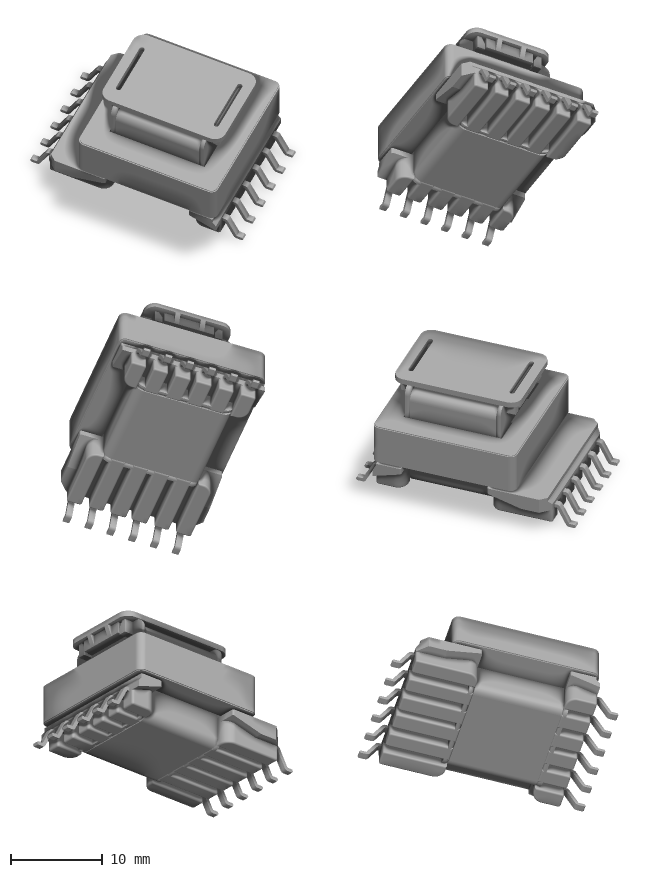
import cadquery as cq
import math


CORE_HALF_X = 8.25
CORE_HALF_Y = 8.4
CORE_CORNER_RADIUS = 0.67
CORE_BOTTOM = 4.28
CORE_HEIGHT = 4.71
CORE_TOP = CORE_BOTTOM + CORE_HEIGHT
WINDOW_HALF_X = 5.75
WINDOW_HALF_Y = 5.65
POST_HALF_Y = 2.37

TAPE_THICKNESS = 0.115
TAPE_RECESS = 0.1

FLANGE_OUTER_X = 5.62
FLANGE_INNER_X = 5.02
FLANGE_HALF_Y = 5.6
FLANGE_BOTTOM = 0.46
FLANGE_TOP = 12.85
FLANGE_CORNER_RADIUS = 1.0
FLANGE_LIP_ROUND = 0.4
POST_CLEARANCE = 0.09
TUBE_WALL = 0.3

BLOCK_MIDDLE_X = -1.95
BLOCK_HALF_SPAN = 10.33
BLOCK_HALF_Y = 7.25
BLOCK_OUTER_ROUND = 0.25
BLOCK_INNER_ROUND = 1.18
BLOCK_BOTTOM_ROUND = 0.2
WING_HALF_Y = 8.3
WING_BOTTOM = 2.2
WING_TOP = 3.92
WING_TIP_BOTTOM = 3.22
WING_TIP_ROUND = 0.2
WING_SLOPE_START_X = -9.02
WING_CORNER_LENGTH = 1.15
NOSE_SETBACK = 0.4
NOSE_LIP_HEIGHT = 0.46
NOSE_CHAMFER_HEIGHT = 0.52

PIN_COUNT = 6
PIN_PITCH = 2.54
PIN_WIDTH = 0.72
PIN_THICKNESS = 0.4
PIN_TOP = 2.63
PIN_HALF_SPAN = 12.88
PIN_FOOT_LENGTH = 0.8
PIN_SHOULDER_LENGTH = 0.57
PIN_BEND_RADIUS = 0.4
PIN_TIP_TAPER = 0.13
WIRE_SLOT_WIDTH = 0.82
MIDDLE_SLOT_WIDTH = 0.62
SLOT_PLACES = [(slot - PIN_COUNT / 2) * PIN_PITCH for slot in range(1, PIN_COUNT)]
WIRE_SLOTS = [(y, (WIRE_SLOT_WIDTH if y else MIDDLE_SLOT_WIDTH) / 2) for y in SLOT_PLACES]

WINDING_HALF_Y = FLANGE_HALF_Y
WINDING_BOTTOM = FLANGE_BOTTOM
WINDING_TOP = 12.2
WINDING_ROUND = 1.0

CAP_HALF_X = 7.37
CAP_HALF_Y = 5.0
CAP_TOP = 13.5
CAP_CORNER_RADIUS = 1.25
CAP_SLOT_OUTER_X = 6.2
CAP_SLOT_LENGTH = 6.5
LEG_OUTER_X = 6.72
BAR_OUTER_X = 6.83
BAR_HALF_Y = 2.89
BAR_DEPTH = 1.3
LEG_INNER_Y = 3.05
LEG_OUTER_Y = 3.95
LEG_DEPTH = 1.57
LEG_TOP_INNER_Y = 3.45
RIB_OFFSET_Y = 1.47
RIB_WIDTH = 0.57
CATCH_START_X = 5.77
CATCH_SLOPE_HEIGHT = 0.77

SIDES = (-1, 1)


def box(x_range, y_range, z_range):
    """Axis-aligned box from the lower and upper limits on each axis."""
    corners = list(zip(x_range, y_range, z_range))
    size = [high - low for low, high in zip(*corners)]
    return cq.Workplane("XY").box(*size, centered=False).translate(corners[0])


def prism_along_y(points, half_width, middle_y=0):
    """Extrude an outline in X and Z evenly to both sides of middle_y."""
    prism = cq.Workplane("XZ").polyline(points).close().extrude(half_width, both=True)
    return prism.translate((0, middle_y, 0))


def make_core_half(side):
    """E-shaped half with a back, two outer legs and a centre post, ending at X = 0."""
    core = (
        cq.Workplane("XY", origin=(0, 0, CORE_BOTTOM))
        .rect(2 * CORE_HALF_X, 2 * CORE_HALF_Y)
        .extrude(CORE_HEIGHT)
        .edges("|Z")
        .fillet(CORE_CORNER_RADIUS)
    )
    z_range = (CORE_BOTTOM, CORE_TOP)
    for y_range in ((POST_HALF_Y, WINDOW_HALF_Y), (-WINDOW_HALF_Y, -POST_HALF_Y)):
        core = core.cut(box((-WINDOW_HALF_X, WINDOW_HALF_X), y_range, z_range))
    x_range = sorted((0, side * CORE_HALF_X))
    return core.intersect(box(x_range, (-CORE_HALF_Y, CORE_HALF_Y), z_range))


def make_tape():
    """Band around the core, slightly lower than the core at top and bottom."""
    height = CORE_HEIGHT - 2 * TAPE_RECESS

    def outline(growth):
        return (
            cq.Workplane("XY", origin=(0, 0, CORE_BOTTOM + TAPE_RECESS))
            .rect(2 * (CORE_HALF_X + growth), 2 * (CORE_HALF_Y + growth))
            .extrude(height)
            .edges("|Z")
            .fillet(CORE_CORNER_RADIUS + growth)
        )

    return outline(TAPE_THICKNESS).cut(outline(0))


def bore(growth=0):
    """Passage for the core post through both flanges, or the tube around it when grown."""
    margin = POST_CLEARANCE + growth
    half_y = POST_HALF_Y + margin
    return box(
        (-FLANGE_OUTER_X, FLANGE_OUTER_X),
        (-half_y, half_y),
        (CORE_BOTTOM - margin, CORE_TOP + margin),
    )


def make_flange(side):
    """Rounded plate whose rim is rounded off on the side of the winding."""
    flange = (
        cq.Workplane("YZ", origin=(FLANGE_INNER_X, 0, 0))
        .center(0, (FLANGE_BOTTOM + FLANGE_TOP) / 2)
        .rect(2 * FLANGE_HALF_Y, FLANGE_TOP - FLANGE_BOTTOM)
        .extrude(FLANGE_OUTER_X - FLANGE_INNER_X)
        .edges("|X")
        .fillet(FLANGE_CORNER_RADIUS)
        .faces("<X")
        .edges()
        .fillet(FLANGE_LIP_ROUND)
    )
    return flange if side > 0 else flange.mirror("YZ")


def side_outline(side):
    """Points of the stepped nose in X and Z, from the top inner corner down to the wing bottom."""
    outer_x = BLOCK_MIDDLE_X + side * BLOCK_HALF_SPAN
    nose_x = outer_x - side * NOSE_SETBACK
    lip_z = WING_TOP - NOSE_LIP_HEIGHT
    return [
        (side * FLANGE_INNER_X, WING_TOP),
        (nose_x, WING_TOP),
        (nose_x, lip_z),
        (outer_x, lip_z - NOSE_CHAMFER_HEIGHT),
        (outer_x, WING_BOTTOM),
    ]


def make_slot_corner(side, slot_y, half_width, edge):
    """Sloped fill in a top corner of a wire slot, where its rounded mouth ends."""
    outer_x = BLOCK_MIDDLE_X + side * BLOCK_HALF_SPAN
    wall_y = slot_y + edge * half_width
    post_y = wall_y + edge * BLOCK_OUTER_ROUND
    outline = [
        (wall_y, WING_BOTTOM),
        (post_y, WING_BOTTOM),
        (post_y, WING_BOTTOM - BLOCK_OUTER_ROUND),
    ]
    start = cq.Workplane("YZ", origin=(outer_x, 0, 0))
    return start.polyline(outline).close().extrude(-side * BLOCK_OUTER_ROUND)


def make_block(side):
    """Row of posts between the wire slots, under the wing on one side."""
    inner_x = side * FLANGE_INNER_X
    outer_x = BLOCK_MIDDLE_X + side * BLOCK_HALF_SPAN
    x_range = sorted((inner_x, outer_x))
    outer_side, inner_side = (">X", "<X") if side > 0 else ("<X", ">X")

    block = box(x_range, (-BLOCK_HALF_Y, BLOCK_HALF_Y), (FLANGE_BOTTOM, WING_TIP_BOTTOM))
    block = block.faces(inner_side).edges("|Z").fillet(BLOCK_INNER_ROUND)
    for slot_y, half_width in WIRE_SLOTS:
        y_range = (slot_y - half_width, slot_y + half_width)
        block = block.cut(box(x_range, y_range, (FLANGE_BOTTOM, WING_BOTTOM)))
    block = block.faces(outer_side).edges("|Z").fillet(BLOCK_OUTER_ROUND)
    block = block.faces("<Z").edges().fillet(BLOCK_BOTTOM_ROUND)
    for slot_y, half_width in WIRE_SLOTS:
        if slot_y:
            for edge in SIDES:
                block = block.union(make_slot_corner(side, slot_y, half_width, edge))

    silhouette = side_outline(side) + [(outer_x, FLANGE_BOTTOM), (inner_x, FLANGE_BOTTOM)]
    return block.intersect(prism_along_y(silhouette, BLOCK_HALF_Y))


def make_wing_corner(outer_x, end):
    """Waste cut from an outer wing corner, down to the width of the block below."""
    waste = [
        (outer_x, end * WING_HALF_Y),
        (outer_x, end * BLOCK_HALF_Y),
        (outer_x + WING_CORNER_LENGTH, end * WING_HALF_Y),
    ]
    return cq.Workplane("XY").polyline(waste).close().extrude(WING_TOP)


def make_wing(side):
    """Wide shelf above a pin block, with a stepped nose and an underside rising inwards."""
    outer_x = BLOCK_MIDDLE_X + side * BLOCK_HALF_SPAN
    inner_x = side * FLANGE_INNER_X
    outline = side_outline(side)
    if side < 0:
        outline.append((WING_SLOPE_START_X, WING_BOTTOM))
    outline.append((inner_x, WING_TIP_BOTTOM))
    wing = prism_along_y(outline, WING_HALF_Y)

    plan = box(
        sorted((inner_x, outer_x)), (-WING_HALF_Y, WING_HALF_Y), (WING_BOTTOM, WING_TOP)
    )
    inner_side = "<X" if side > 0 else ">X"
    plan = plan.faces(inner_side).edges("|Z").fillet(WING_TIP_ROUND)
    wing = wing.intersect(plan)
    if side < 0:
        for end in SIDES:
            wing = wing.cut(make_wing_corner(outer_x, end))
    return wing


def make_pin(side, pin_y):
    """Gull-wing pin: shoulder out of the block, sloped leg and flat foot with a wedge-shaped tip."""
    block_x = BLOCK_HALF_SPAN
    knee_x = block_x + PIN_SHOULDER_LENGTH
    ankle_x = PIN_HALF_SPAN - PIN_FOOT_LENGTH
    taper_x = PIN_HALF_SPAN - PIN_TIP_TAPER
    slope = math.atan2(PIN_TOP - PIN_THICKNESS, ankle_x - knee_x)
    inner_shift = PIN_THICKNESS * math.tan(slope / 2)
    outline = [
        (block_x, PIN_TOP),
        (knee_x, PIN_TOP),
        (ankle_x, PIN_THICKNESS),
        (taper_x, PIN_THICKNESS),
        (PIN_HALF_SPAN, PIN_THICKNESS / 2),
        (taper_x, 0),
        (ankle_x - inner_shift, 0),
        (knee_x - inner_shift, PIN_TOP - PIN_THICKNESS),
        (block_x, PIN_TOP - PIN_THICKNESS),
    ]
    pin = prism_along_y(outline, PIN_WIDTH / 2, pin_y)
    for bend_x, bend_z in ((knee_x, PIN_TOP), (ankle_x - inner_shift, 0)):
        bend = cq.selectors.NearestToPointSelector((bend_x, pin_y, bend_z))
        pin = pin.edges("|Y").edges(bend).fillet(PIN_BEND_RADIUS)
    if side < 0:
        pin = pin.mirror("YZ")
    return pin.translate((BLOCK_MIDDLE_X, 0, 0))


def make_catch(side):
    """Ramp on the outer face of a flange, filling the gap between the legs of the cap."""
    slope_bottom = FLANGE_TOP - CATCH_SLOPE_HEIGHT
    catch_bottom = FLANGE_TOP - BAR_DEPTH
    ramp = [
        (side * FLANGE_OUTER_X, FLANGE_TOP),
        (side * CATCH_START_X, FLANGE_TOP),
        (side * CAP_SLOT_OUTER_X, slope_bottom),
        (side * CAP_SLOT_OUTER_X, catch_bottom),
        (side * FLANGE_OUTER_X, catch_bottom),
    ]
    width_outline = [
        (-LEG_TOP_INNER_Y, FLANGE_TOP),
        (LEG_TOP_INNER_Y, FLANGE_TOP),
        (LEG_INNER_Y, slope_bottom),
        (LEG_INNER_Y, catch_bottom),
        (-LEG_INNER_Y, catch_bottom),
        (-LEG_INNER_Y, slope_bottom),
    ]
    width = cq.Workplane("YZ").polyline(width_outline).close().extrude(CAP_HALF_X, both=True)
    return prism_along_y(ramp, LEG_TOP_INNER_Y).intersect(width)


def make_bobbin():
    """Tube with two flanges, carrying the blocks, wings, catches and pins on both sides."""
    bobbin = bore(TUBE_WALL)
    for side in SIDES:
        bobbin = bobbin.union(make_flange(side))
        bobbin = bobbin.union(make_block(side)).union(make_wing(side))
        bobbin = bobbin.union(make_catch(side))
        for pin in range(PIN_COUNT):
            pin_y = (pin - (PIN_COUNT - 1) / 2) * PIN_PITCH
            bobbin = bobbin.union(make_pin(side, pin_y))
    return bobbin.cut(bore())


def make_winding():
    """Rounded block of wire between the flanges, wound on the tube of the bobbin."""
    winding = box(
        (-FLANGE_INNER_X, FLANGE_INNER_X),
        (-WINDING_HALF_Y, WINDING_HALF_Y),
        (WINDING_BOTTOM, WINDING_TOP),
    )
    return winding.edges("|X").fillet(WINDING_ROUND).cut(bore(TUBE_WALL))


def make_clip_leg(side, end):
    """Leg beside a catch, with its inner edge narrowing towards the plate."""
    outline = [
        (end * LEG_OUTER_Y, FLANGE_TOP),
        (end * LEG_TOP_INNER_Y, FLANGE_TOP),
        (end * LEG_INNER_Y, FLANGE_TOP - CATCH_SLOPE_HEIGHT),
        (end * LEG_INNER_Y, FLANGE_TOP - LEG_DEPTH),
        (end * LEG_OUTER_Y, FLANGE_TOP - LEG_DEPTH),
    ]
    start = cq.Workplane("YZ", origin=(side * FLANGE_OUTER_X, 0, 0))
    return start.polyline(outline).close().extrude(side * (LEG_OUTER_X - FLANGE_OUTER_X))


def make_clip(side):
    """Two legs, the bar between them and the triangular ribs outside the bar."""
    bar_bottom = FLANGE_TOP - BAR_DEPTH
    clip = box(
        sorted((side * CAP_SLOT_OUTER_X, side * BAR_OUTER_X)),
        (-BAR_HALF_Y, BAR_HALF_Y),
        (bar_bottom, FLANGE_TOP),
    )
    rib_outline = [
        (side * BAR_OUTER_X, FLANGE_TOP),
        (side * CAP_HALF_X, FLANGE_TOP),
        (side * BAR_OUTER_X, bar_bottom),
    ]
    for end in SIDES:
        clip = clip.union(make_clip_leg(side, end))
        clip = clip.union(prism_along_y(rib_outline, RIB_WIDTH / 2, end * RIB_OFFSET_Y))
    return clip


def make_cap():
    """Rounded plate resting on the flanges, with a slot over each catch."""
    thickness = CAP_TOP - FLANGE_TOP
    slot_x = (FLANGE_OUTER_X + CAP_SLOT_OUTER_X) / 2
    slot_width = CAP_SLOT_OUTER_X - FLANGE_OUTER_X
    plate = (
        cq.Workplane("XY", origin=(0, 0, FLANGE_TOP))
        .rect(2 * CAP_HALF_X, 2 * CAP_HALF_Y)
        .extrude(thickness)
        .edges("|Z")
        .fillet(CAP_CORNER_RADIUS)
        .faces(">Z")
        .workplane(origin=(0, 0, CAP_TOP))
        .pushPoints([(side * slot_x, 0) for side in SIDES])
        .slot2D(CAP_SLOT_LENGTH, slot_width, 90)
        .cutBlind(-thickness)
    )
    for side in SIDES:
        plate = plate.union(make_clip(side))
    return plate


core_halves = [make_core_half(side) for side in SIDES]
tape = make_tape()
bobbin = make_bobbin()
winding = make_winding()
cap = make_cap()

result = cq.Compound.makeCompound(
    [*(half.val() for half in core_halves), tape.val(), bobbin.val(), winding.val(), cap.val()]
)